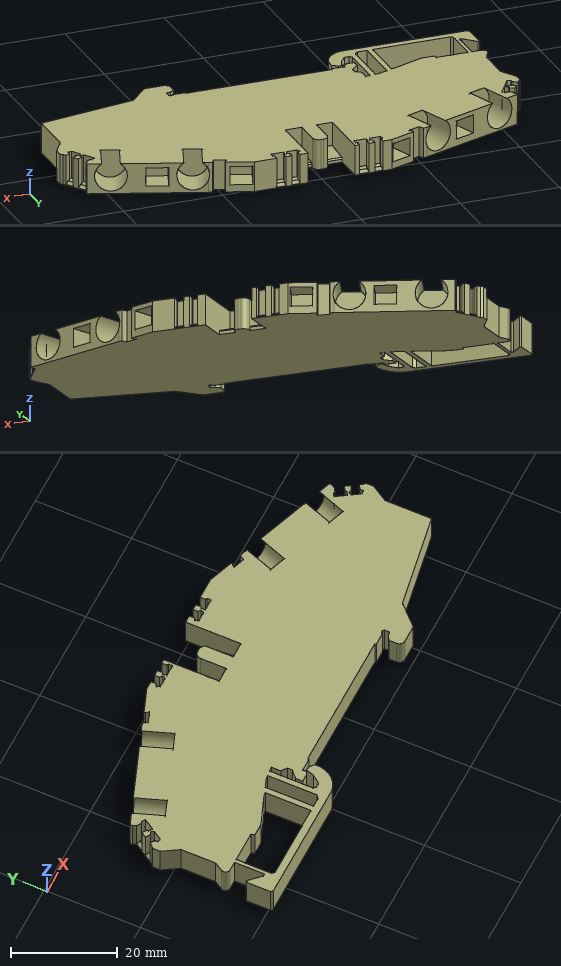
import cadquery as cq
import math

LENGTH = 93.0
HEIGHT = 41.5
THICKNESS = 6.1
HALF = LENGTH / 2

ROOF_ANGLE = 20.0
ROOF_HALF_FLAT = 13.9
ROOF_STEP_X = 19.0
SLOPE_START_X = 22.9
SLOPE_START_Y = 38.3
SLOPE_END_X = 43.4
END_TOP_X, END_TOP_Y = 43.1, 29.7
END_LOW_X, END_LOW_Y = 46.0, 25.0
SIDE_X = 44.5
SIDE_TOP_Y = 19.7
BASE_Y = 7.3
LIP_Y = 7.0
TOE_X, TOE_Y = -46.3, 9.4
TOE_RADIUS = 0.9
HOOK_LEFT = 15.7
HOOK_BOTTOM_Y = 2.4
HOOK_RADIUS = 1.2

FOOT_LEFT = -45.9
FOOT_FLOOR_Y = 1.6
STRUT_LEFT = -42.8
STRUT_RIGHT = -42.0
WINDOW_RIGHT = -25.9
WINDOW_CORNER = 0.5
MIDDLE_STRUT_RIGHT = -24.7
SPRING_LEFT = -22.1
SPRING_RIGHT = -21.0
STRUT_BOTTOM_Y = 0.9
FOOT_CORNER = 0.4
FOOT_TIP_Y = 5.5

RECESS_LEFT = -6.4
RECESS_RIGHT = 3.1
RECESS_BOTTOM_Y = 29.9
RIB_WIDTH = 3.0
RIB_CENTER_X = -1.8
RIB_TOP_Y = 36.55
RIB_RADIUS = 1.2
LEDGE_TOP_Y = 35.0
LEDGE_BEVEL = 0.3
LEDGE_BACK_Z = 1.4
LEDGE_FRONT_Z = 0.9

ROUND_DIAMETER = 6.1
ROUND_CENTER_Z = 3.6
ROUND_DEPTH = 6.4
ROUND_PLACES_X = (24.7, 39.2)
SQUARE_LENGTH = 4.3
SQUARE_HEIGHT = 3.7
SQUARE_CENTER_Z = 3.35
SQUARE_DEPTH = 4.65
SQUARE_ON_SLOPE_X = 31.1
SQUARE_ON_ROOF_X = 16.2

SLOT_FLOOR_Z = 0.65
SLOT_RAMP_Z = 0.2
SLOT_RAMP_DEPTH = 0.7
SLOT_NECK_DEPTH = 1.1
SLOT_DEPTH = 2.1
SLOT_SPACING = 3.0
LEFT_SLOT_X = -11.25
RIGHT_SLOT_X = 5.5
END_SLOT_INSET = 4.0


def slope_y(distance):
    """Height of the sloping roof at a distance from the middle."""
    return SLOPE_START_Y - (distance - SLOPE_START_X) * math.tan(math.radians(ROOF_ANGLE))


def upper_roof_y(distance):
    """Height of the short slope next to the flat roof."""
    return HEIGHT - (distance - ROOF_HALF_FLAT) * math.tan(math.radians(ROOF_ANGLE))


def roof_points():
    """Half of the roof and end, from the flat roof down to the side wall."""
    slope_end_y = slope_y(SLOPE_END_X)
    return [
        (ROOF_HALF_FLAT, HEIGHT),
        (ROOF_STEP_X, upper_roof_y(ROOF_STEP_X)),
        (ROOF_STEP_X, 39.2),
        (18.4, 38.7),
        (20.7, 37.85),
        (21.3, 38.8),
        (22.0, slope_y(22.0)),
        (SLOPE_END_X, slope_end_y),
        (SLOPE_END_X, slope_end_y - 0.6),
        (END_TOP_X, END_TOP_Y),
        (END_LOW_X, END_LOW_Y),
        (HALF, 24.6),
        (HALF, 23.1),
        (SIDE_X, SIDE_TOP_Y),
    ]


def round_corner(part, x, y, radius):
    """Fillet the upright edge at one corner of the outline."""
    corner = cq.selectors.NearestToPointSelector((x, y, THICKNESS / 2))
    return part.edges(corner).fillet(radius)


def make_body():
    left_roof = [(-x, y) for x, y in roof_points()]
    right_roof = list(reversed(roof_points()))
    lower_left = [
        (-SIDE_X, 12.6), (TOE_X, TOE_Y),
        (-35.6, TOE_Y), (-35.4, 8.65), (-32.8, 8.65), (-26.4, 11.1), (WINDOW_RIGHT, 11.1),
        (MIDDLE_STRUT_RIGHT, 11.6), (-22.9, 12.3), (-20.1, 12.6),
        (-20.1, 10.6), (-19.0, 9.8), (-19.0, 8.7), (-20.5, 7.35), (-20.5, 5.9),
        (-18.9, 5.9), (-18.1, 6.2), (-18.1, LIP_Y), (-15.4, LIP_Y), (-15.3, BASE_Y),
    ]
    rail_hook = [
        (13.9, BASE_Y), (13.95, LIP_Y), (16.65, LIP_Y), (16.7, BASE_Y), (17.2, BASE_Y),
        (17.5, LIP_Y), (17.5, 5.95), (16.65, 5.8),
        (HOOK_LEFT, 5.2), (HOOK_LEFT, HOOK_BOTTOM_Y),
        (20.55, HOOK_BOTTOM_Y), (24.55, 6.6), (SIDE_X, 10.0),
    ]
    outline = left_roof + lower_left + rail_hook + right_roof
    body = cq.Workplane("XY").polyline(outline).close().extrude(THICKNESS)
    body = round_corner(body, TOE_X, TOE_Y, TOE_RADIUS)
    return round_corner(body, HOOK_LEFT, HOOK_BOTTOM_Y, HOOK_RADIUS)


def upright(left, right, bottom, top):
    """Full-thickness bar between two X and two Y values."""
    return (
        cq.Workplane("XY")
        .box(right - left, top - bottom, THICKNESS, centered=False)
        .translate((left, bottom, 0))
    )


def make_foot():
    foot = (
        cq.Workplane("XY")
        .moveTo(FOOT_LEFT, FOOT_CORNER)
        .lineTo(FOOT_LEFT, FOOT_TIP_Y)
        .lineTo(-45.6, FOOT_TIP_Y)
        .lineTo(-43.2, 3.2)
        .lineTo(STRUT_LEFT, 3.2)
        .lineTo(STRUT_RIGHT, FOOT_FLOOR_Y + WINDOW_CORNER)
        .lineTo(STRUT_RIGHT + WINDOW_CORNER, FOOT_FLOOR_Y)
        .lineTo(-22.8, FOOT_FLOOR_Y)
        .lineTo(SPRING_LEFT, FOOT_FLOOR_Y + 0.6)
        .lineTo(SPRING_RIGHT, 3.4)
        .lineTo(-20.55, 3.0)
        .lineTo(-19.6, 3.0)
        .lineTo(-18.3, 4.65)
        .lineTo(-17.9, 6.3)
        .lineTo(-17.1, 6.3)
        .lineTo(-16.0, FOOT_TIP_Y)
        .lineTo(-16.0, 4.3)
        .lineTo(-16.4, 3.0)
        .threePointArc((-17.8, 1.0), (-20.2, 0))
        .lineTo(FOOT_LEFT + FOOT_CORNER, 0)
        .close()
        .extrude(THICKNESS)
    )
    foot = foot.union(upright(STRUT_LEFT, STRUT_RIGHT, STRUT_BOTTOM_Y, 10.2))
    foot = foot.union(upright(WINDOW_RIGHT, MIDDLE_STRUT_RIGHT, STRUT_BOTTOM_Y, 12.1))
    return foot.union(upright(SPRING_LEFT, SPRING_RIGHT, STRUT_BOTTOM_Y, 13.0))


def cut_recess(part):
    part = part.cut(upright(RECESS_LEFT, RECESS_RIGHT, RECESS_BOTTOM_Y, HEIGHT))
    ledge = (
        cq.Workplane("YZ")
        .polyline([
            (RECESS_BOTTOM_Y, 0),
            (RECESS_BOTTOM_Y, LEDGE_BACK_Z),
            (LEDGE_TOP_Y - LEDGE_BEVEL, LEDGE_FRONT_Z),
            (LEDGE_TOP_Y, LEDGE_FRONT_Z - LEDGE_BEVEL),
            (LEDGE_TOP_Y, 0),
        ])
        .close()
        .extrude(RECESS_RIGHT - RECESS_LEFT)
        .translate((RECESS_LEFT, 0, 0))
    )
    rib_left = RIB_CENTER_X - RIB_WIDTH / 2
    rib = upright(rib_left, rib_left + RIB_WIDTH, RECESS_BOTTOM_Y, RIB_TOP_Y)
    rib = rib.edges("|Z and >Y").fillet(RIB_RADIUS)
    return part.union(ledge).union(rib)


def place_on_slope(cutter, distance, height, side):
    """Turn a cutter that points down -Y to the roof slope; side is -1 left, 1 right."""
    turned = cutter.rotate((0, 0, 0), (0, 0, 1), -side * ROOF_ANGLE)
    return turned.translate((side * distance, height, 0))


def cut_roof_openings(part):
    overshoot = 0.9
    round_hole = (
        cq.Workplane("XZ", origin=(0, overshoot, 0))
        .center(0, ROUND_CENTER_Z)
        .circle(ROUND_DIAMETER / 2)
        .extrude(ROUND_DEPTH + overshoot)
    )
    square_hole = (
        cq.Workplane("XZ", origin=(0, overshoot, 0))
        .center(0, SQUARE_CENTER_Z)
        .rect(SQUARE_LENGTH, SQUARE_HEIGHT)
        .extrude(SQUARE_DEPTH + overshoot)
    )
    for side in (-1, 1):
        for x in ROUND_PLACES_X:
            part = part.cut(place_on_slope(round_hole, x, slope_y(x), side))
        x = SQUARE_ON_SLOPE_X
        part = part.cut(place_on_slope(square_hole, x, slope_y(x), side))
        x = SQUARE_ON_ROOF_X
        part = part.cut(place_on_slope(square_hole, x, upper_roof_y(x), side))
    return part


def slot_cutter(mouth_width, shoulder_width, shoulder_depth, bottom_width):
    """Keyed slot that enters along -Y from Y = 0, with a ramp at its mouth."""
    mouth = mouth_width / 2
    shoulder = shoulder_width / 2
    bottom = bottom_width / 2
    right_side = [
        (mouth, 0),
        (mouth, -SLOT_NECK_DEPTH),
        (shoulder, -shoulder_depth),
        (bottom, -SLOT_DEPTH),
    ]
    left_side = [(-x, y) for x, y in reversed(right_side)]
    pocket = (
        cq.Workplane("XY", origin=(0, 0, SLOT_FLOOR_Z))
        .polyline(right_side + left_side)
        .close()
        .extrude(THICKNESS)
    )
    ramp = (
        cq.Workplane("YZ", origin=(-mouth, 0, 0))
        .polyline([(0, SLOT_RAMP_Z), (0, THICKNESS), (-SLOT_RAMP_DEPTH, THICKNESS),
                   (-SLOT_RAMP_DEPTH, SLOT_FLOOR_Z)])
        .close()
        .extrude(mouth_width)
    )
    return pocket.union(ramp)


def cut_label_slots(part):
    tapered = slot_cutter(mouth_width=1.6, shoulder_width=2.7, shoulder_depth=1.5, bottom_width=2.0)
    straight = slot_cutter(mouth_width=1.9, shoulder_width=2.5, shoulder_depth=1.3, bottom_width=2.5)
    pair = tapered.union(straight.translate((SLOT_SPACING, 0, 0)))

    for x in (LEFT_SLOT_X, RIGHT_SLOT_X):
        part = part.cut(pair.translate((x, HEIGHT, 0)))

    run = END_LOW_X - END_TOP_X
    rise = END_TOP_Y - END_LOW_Y
    end_length = math.hypot(run, rise)
    share = END_SLOT_INSET / end_length
    start = (-END_TOP_X - run * share, END_TOP_Y - rise * share, 0)
    end_angle = math.degrees(math.atan2(rise, run))
    left_pair = pair.rotate((0, 0, 0), (0, 0, 1), end_angle).translate(start)
    return part.cut(left_pair).cut(left_pair.mirror("YZ"))


result = make_body().union(make_foot())
result = cut_recess(result)
result = cut_roof_openings(result)
result = cut_label_slots(result)